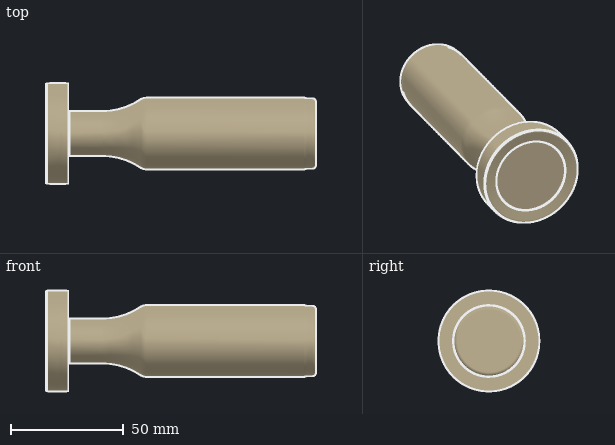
import cadquery as cq
import math

LENGTH = 120.0
HEAD_DIAMETER = 45.0

PARTING_X = 6.0
HEAD_THICKNESS = 10.0
FRONT_RIM_DIAMETER = 44.9
BACK_RIM_DIAMETER = 44.9
FRONT_EDGE_DIAMETER = 44.0
BACK_EDGE_DIAMETER = 44.8
EDGE_LENGTH = 0.5
DISH_RIM_DIAMETER = 42.4
DISH_FLOOR_DIAMETER = 33.2
DISH_DEPTH = 0.7
FLOOR_STEP_DIAMETER = 32.6
FLOOR_STEP_DEPTH = 0.2
BOSS_LENGTH = 0.6

NECK_DIAMETER = 20.0
HANDLE_START_X = HEAD_THICKNESS + BOSS_LENGTH
NECK_END_X = 25.1
GRIP_DIAMETER = 32.0
FLARE_RADIUS = 30.0
SHOULDER_RADIUS = 5.0
GRIP_END_X = 114.7
END_DIAMETER = 31.5
END_STEP_LENGTH = 1.1
END_FILLET = 1.7


def revolve_about_x(profile):
    """Turn a closed half profile, drawn as (x, radius), about the X axis."""
    return profile.close().revolve(360, (0, 0, 0), (1, 0, 0))


def make_head():
    """Disc widest at its parting line, with bevelled edges, a conical dish and a rear boss."""
    floor_x = DISH_DEPTH + FLOOR_STEP_DEPTH
    neck_r = NECK_DIAMETER / 2
    profile = (
        cq.Workplane("XY")
        .moveTo(floor_x, 0)
        .lineTo(floor_x, FLOOR_STEP_DIAMETER / 2)
        .lineTo(DISH_DEPTH, DISH_FLOOR_DIAMETER / 2)
        .lineTo(0, DISH_RIM_DIAMETER / 2)
        .lineTo(0, FRONT_EDGE_DIAMETER / 2)
        .lineTo(EDGE_LENGTH, FRONT_RIM_DIAMETER / 2)
        .lineTo(PARTING_X, HEAD_DIAMETER / 2)
        .lineTo(HEAD_THICKNESS - EDGE_LENGTH, BACK_RIM_DIAMETER / 2)
        .lineTo(HEAD_THICKNESS, BACK_EDGE_DIAMETER / 2)
        .lineTo(HEAD_THICKNESS, neck_r)
        .lineTo(HANDLE_START_X, neck_r)
        .lineTo(HANDLE_START_X, 0)
    )
    return revolve_about_x(profile)


def make_handle():
    """Neck, flared grip and rounded end turned as one piece."""
    neck_r = NECK_DIAMETER / 2
    grip_r = GRIP_DIAMETER / 2
    end_r = END_DIAMETER / 2

    rise = grip_r - neck_r
    angle = math.acos(1 - rise / (FLARE_RADIUS + SHOULDER_RADIUS))
    flare_end_x = NECK_END_X + FLARE_RADIUS * math.sin(angle)
    flare_end_r = neck_r + FLARE_RADIUS * (1 - math.cos(angle))
    shoulder_end_x = flare_end_x + SHOULDER_RADIUS * math.sin(angle)

    profile = (
        cq.Workplane("XY")
        .moveTo(HANDLE_START_X, 0)
        .lineTo(HANDLE_START_X, neck_r)
        .lineTo(NECK_END_X, neck_r)
        .radiusArc((flare_end_x, flare_end_r), -FLARE_RADIUS)
        .radiusArc((shoulder_end_x, grip_r), SHOULDER_RADIUS)
        .lineTo(GRIP_END_X, grip_r)
        .lineTo(GRIP_END_X + END_STEP_LENGTH, end_r)
        .lineTo(LENGTH - END_FILLET, end_r)
        .radiusArc((LENGTH, end_r - END_FILLET), END_FILLET)
        .lineTo(LENGTH, 0)
    )
    return revolve_about_x(profile)


head = make_head()
handle = make_handle()
result = cq.Compound.makeCompound([head.val(), handle.val()])